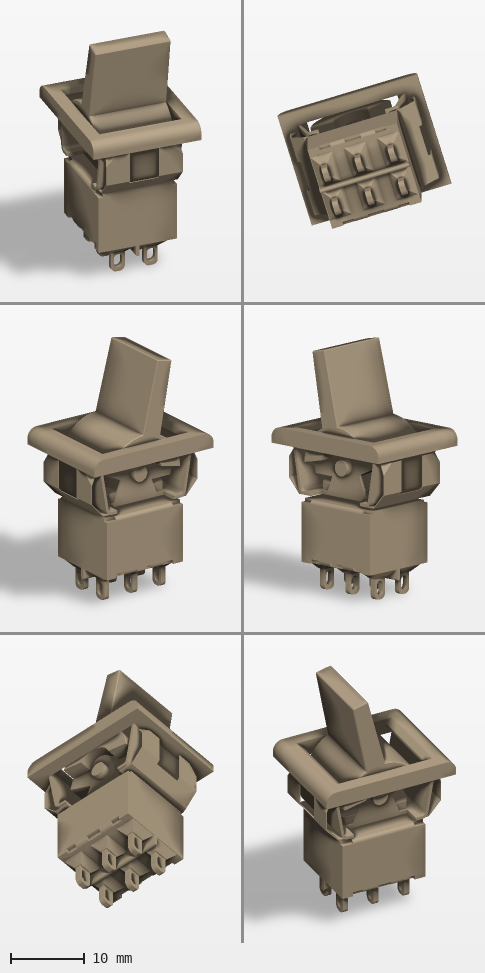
import cadquery as cq
import math


bezel_x = 19.85
bezel_y = 15.8
bezel_z = 2.3
bezel_round = 1.5
opening_x = 14.6
opening_throat_x = 12.88
opening_slope_z = 0.72
lip_bottom_z = 1.2
opening_y = 12.04

strap_t = 0.42
strap_y = opening_y
strap_top_x = 7.7
strap_foot_z = -6.91
strap_slope = math.tan(math.radians(9.8))
strap_bend = 0.5
strap_inner_top_x = strap_top_x - strap_t / math.cos(math.atan(strap_slope))
foot_inner_x = 4.74
bridge_y = 7.0

clip_t = 0.13
clip_x = 8.84
clip_y = 11.22
clip_top_z = -0.62
clip_knee_z = -4.95
clip_floor_x = 6.92
clip_slot_y = 4.25
clip_slot_z = -5.39
flap_leg = 1.5
flap_tip_inward = 0.78
flap_tip_setback_y = 0.25
flap_tip_drop = 0.15

pivot_z = -2.63
pin_d = 2.2
pin_y = 9.5
ear_outer_y = 3.56
ear_t = 0.4
ear_top_z = pivot_z + 1.38
ear_top_half_x = 1.45
ear_foot_half_x = 3.7
ear_crown_d = 5.2
ear_crown_flare = math.tan(math.radians(35))
bushing_d = 5.2
boss_z = -5.3
boss_y = 6.4
boss_d = 11.44

tilt = 12.3
rocker_r = 6.0
wide_bottom_z = 1.45
wide_half_y = 5.72
core_y = 7.06
vee_depth = 1.68
ear_clearance_d = 5.8
handle_root_half_x = 1.5
handle_root_z = 5.7
handle_tip_half_x = 1.2
handle_tip_z = 16.42
handle_tip_half_y = 5.52
rocker_edge = 0.13

housing_x = 12.7
housing_y = 11.46
housing_top_z = -7.62
housing_bottom_z = -16.43
cover_x = 2 * foot_inner_x
cover_round = 0.55
cover_bottom_z = -15.8
cover_t = 0.5
shoulder_z = -8.06
shoulder_tab_y = 10.16
tongue_x = 2.17
tongue_length = 2.05

pitch_x = 4.71
pitch_y = 4.82
base_h = 1.05
base_top_x = 3.1
base_top_y = 4.28
base_tip_x = 1.1
base_tip_y = 2.2
lug_t = 0.8
lug_w = 2.0
terminal_bottom_z = -20.44
terminal_round = 0.75
eye_w = 1.2
eye_h = 1.96
eye_z = -18.85
rib_t = 0.56
rib_bottom_z = -18.03
rib_round = 0.27


def box(x_size, y_size, z_low, z_high):
    """Box centred on the Z axis between two heights."""
    return cq.Workplane("XY").workplane(offset=z_low).rect(x_size, y_size).extrude(z_high - z_low)


def along_y(points, width):
    """Closed X-Z outline extruded to a width centred on Y = 0."""
    return cq.Workplane("XZ").polyline(points).close().extrude(width / 2, both=True)


def rod_y(diameter, z, length):
    """Rod along Y, centred on Y = 0."""
    return cq.Workplane("XZ").center(0, z).circle(diameter / 2).extrude(length / 2, both=True)


def upright_rod(diameter, z_low, z_high):
    """Rod on the Z axis between two heights."""
    return cq.Workplane("XY").workplane(offset=z_low).circle(diameter / 2).extrude(z_high - z_low)


def with_mirrored_end(points):
    """Left half of an X-Z outline, completed by its mirror image across X = 0."""
    return points + [(-x, z) for x, z in reversed(points)]


def make_bezel():
    """Frame with rounded ends. The opening slopes in to a lip at each end, undercut down to the strap."""
    bezel = box(bezel_x, bezel_y, 0, bezel_z)
    bezel = bezel.faces(">Z").edges("|Y").fillet(bezel_round)
    undercut_top_x = strap_inner_top_x + lip_bottom_z * strap_slope
    opening = [
        (-opening_x / 2, bezel_z),
        (-opening_throat_x / 2, bezel_z - opening_slope_z),
        (-opening_throat_x / 2, lip_bottom_z),
        (-undercut_top_x, lip_bottom_z),
        (-strap_inner_top_x, 0),
    ]
    return bezel.cut(along_y(with_mirrored_end(opening), opening_y))


def foot_gap(side):
    """Space beside the bridge, between the two feet of the bracket and clip."""
    gap_y = bezel_y / 2
    gap = box(2 * foot_inner_x, gap_y, strap_foot_z - clip_t, strap_foot_z + strap_t)
    return gap.translate((0, side * (bridge_y + gap_y) / 2, 0))


def make_strap():
    """U-shaped strap with leaning arms and rounded bends."""
    floor_z = strap_foot_z + strap_t
    outer_foot_x = strap_top_x + strap_foot_z * strap_slope
    inner_foot_x = strap_inner_top_x + floor_z * strap_slope
    outer = along_y(with_mirrored_end([(-strap_top_x, 0), (-outer_foot_x, strap_foot_z)]), strap_y)
    outer = outer.faces("<Z").edges("|Y").fillet(strap_bend + strap_t)
    inner = along_y(with_mirrored_end([(-strap_inner_top_x, 0), (-inner_foot_x, floor_z)]), strap_y)
    inner = inner.faces("<Z").edges("|Y").fillet(strap_bend)
    return outer.cut(inner)


def make_flap(side_x, side_y):
    """Corner of a clip leaf, folded inwards along a diagonal."""
    corner_y = clip_y / 2
    fold_points = [
        (clip_x, corner_y - flap_leg, clip_top_z),
        (clip_x, corner_y, clip_top_z - flap_leg),
        (clip_x - flap_tip_inward, corner_y - flap_tip_setback_y, clip_top_z - flap_tip_drop),
    ]
    corners = [cq.Vector(side_x * x, side_y * y, z) for x, y, z in fold_points]
    outline = cq.Wire.makePolygon(corners, close=True)
    return cq.Workplane(cq.Solid.extrudeLinear(outline, [], cq.Vector(-side_x * clip_t, 0, 0)))


def make_clip():
    """Spring with a slotted leaf at each end and folded-in leaf corners."""
    floor_z = strap_foot_z - clip_t
    knee_angle = math.atan2(clip_x - clip_floor_x, clip_knee_z - floor_z)
    knee_miter = clip_t * math.tan(knee_angle / 2)
    floor_miter = clip_t * math.tan((math.pi / 2 - knee_angle) / 2)
    left_outer = [(-clip_x, clip_top_z), (-clip_x, clip_knee_z), (-clip_floor_x, floor_z)]
    left_inner = [
        (-clip_x + clip_t, clip_top_z),
        (-clip_x + clip_t, clip_knee_z + knee_miter),
        (-clip_floor_x + floor_miter, strap_foot_z),
    ]
    clip = along_y(with_mirrored_end(left_outer), clip_y)
    clip = clip.cut(along_y(with_mirrored_end(left_inner), clip_y))
    clip = clip.cut(box(2 * clip_x, clip_slot_y, clip_slot_z, 0))
    for side_y in (-1, 1):
        edge_y = side_y * clip_y / 2
        corner = [
            (edge_y, clip_top_z),
            (edge_y - side_y * flap_leg, clip_top_z),
            (edge_y, clip_top_z - flap_leg),
        ]
        clip = clip.cut(cq.Workplane("YZ").polyline(corner).close().extrude(clip_x, both=True))
        for side_x in (-1, 1):
            clip = clip.union(make_flap(side_x, side_y))
    return clip


def make_ear(side):
    """Upright ear carrying the pin, with an outward-flared crown above its straight top."""
    ear_inner_y = ear_outer_y - ear_t
    crown_top_z = pivot_z + ear_crown_d / 2
    outline = with_mirrored_end([(-ear_top_half_x, ear_top_z), (-ear_foot_half_x, strap_foot_z)])
    ear = along_y(outline, ear_t).translate((0, side * (ear_outer_y + ear_inner_y) / 2, 0))
    flare = ear_crown_flare * (crown_top_z - ear_top_z)
    section = [
        (side * ear_inner_y, ear_top_z),
        (side * ear_outer_y, ear_top_z),
        (side * (ear_outer_y + flare), crown_top_z),
        (side * ear_inner_y, crown_top_z),
    ]
    crown = cq.Workplane("YZ").polyline(section).close().extrude(ear_top_half_x, both=True)
    return ear.union(crown.intersect(rod_y(ear_crown_d, pivot_z, bezel_y)))


def make_bracket():
    """Strap and clip joined by a bridge that carries the boss, bushing, ears and pin."""
    bracket = make_strap().union(make_clip())
    for side in (-1, 1):
        bracket = bracket.cut(foot_gap(side))
    boss = upright_rod(boss_d, strap_foot_z, boss_z)
    bracket = bracket.union(boss.intersect(box(boss_d, boss_y, strap_foot_z, boss_z)))
    bushing = upright_rod(bushing_d, strap_foot_z, pivot_z)
    bracket = bracket.union(bushing)
    for side in (-1, 1):
        bracket = bracket.union(make_ear(side))
    return bracket.union(rod_y(pin_d, pivot_z, pin_y))


def make_rocker():
    """Wide drum segment with a tapered handle on a narrower core whose underside is a shallow V."""
    drum = rod_y(2 * rocker_r, 0, 2 * wide_half_y)
    head = drum.intersect(box(2 * rocker_r, 2 * wide_half_y, wide_bottom_z, rocker_r))
    handle_left = [
        (-handle_tip_half_x, handle_tip_z),
        (-handle_root_half_x, handle_root_z),
        (-handle_root_half_x, wide_bottom_z),
    ]
    handle = along_y(with_mirrored_end(handle_left), 2 * wide_half_y)
    draft = [
        (-wide_half_y, wide_bottom_z),
        (wide_half_y, wide_bottom_z),
        (handle_tip_half_y, handle_tip_z),
        (-handle_tip_half_y, handle_tip_z),
    ]
    head = head.union(handle).intersect(
        cq.Workplane("YZ").polyline(draft).close().extrude(rocker_r, both=True)
    )
    head = head.faces("<Y or >Y or >Z").edges("not <Z").chamfer(rocker_edge)
    head = head.cut(rod_y(ear_clearance_d, 0, 2 * wide_half_y))

    vee_floor_z = -vee_depth / math.cos(math.radians(tilt))
    vee_edge_z = vee_floor_z + rocker_r * math.tan(math.radians(tilt))
    core_outline = [
        (-rocker_r, rocker_r),
        (-rocker_r, vee_edge_z),
        (0, vee_floor_z),
        (rocker_r, vee_edge_z),
        (rocker_r, rocker_r),
    ]
    core = along_y(core_outline, core_y).intersect(rod_y(2 * rocker_r, 0, core_y))
    rocker = head.union(core)
    return rocker.rotate((0, 0, 0), (0, 1, 0), tilt).translate((0, 0, pivot_z))


def make_housing_shell():
    """Case with stepped ends, and a cover between them that stops short of the case bottom."""
    shell = box(housing_x, housing_y, housing_bottom_z, shoulder_z)
    shell = shell.union(box(housing_x, shoulder_tab_y, shoulder_z, housing_top_z))
    shell = shell.cut(box(cover_x, housing_y, housing_bottom_z, housing_top_z))
    cover = box(cover_x, housing_y, cover_bottom_z, housing_top_z)
    cover = cover.faces(">Z").edges("|X").fillet(cover_round)
    core = box(cover_x, housing_y - 2 * cover_t, housing_bottom_z, housing_top_z)
    return shell.union(cover).union(core)


def make_tongue(x, side):
    """Rounded tongue under the lower edge of the cover, curling inwards."""
    curl = cover_bottom_z - housing_bottom_z
    face_y = side * housing_y / 2
    tongue = (
        cq.Workplane("YZ")
        .workplane(offset=x - tongue_length / 2)
        .moveTo(face_y, cover_bottom_z)
        .radiusArc((face_y - side * curl, housing_bottom_z), side * curl)
        .lineTo(face_y - side * curl, cover_bottom_z)
        .close()
    )
    return tongue.extrude(tongue_length)


def make_terminal(x, y):
    """Solder lug with a slotted eye below a tapered base."""
    base = (
        cq.Workplane("XY")
        .workplane(offset=housing_bottom_z)
        .rect(base_top_x, base_top_y)
        .workplane(offset=-base_h)
        .rect(base_tip_x, base_tip_y)
        .loft()
    )
    lug = box(lug_t, lug_w, terminal_bottom_z, housing_bottom_z)
    lug = lug.faces("<Z").edges("|X").fillet(terminal_round)
    eye = cq.Workplane("YZ").center(0, eye_z).slot2D(eye_h, eye_w, 90).extrude(lug_t, both=True)
    return base.union(lug.cut(eye)).translate((x, y, 0))


def make_housing():
    housing = make_housing_shell()
    for side in (-1, 1):
        for x in (-tongue_x, tongue_x):
            housing = housing.union(make_tongue(x, side))
        for x in (-pitch_x, 0, pitch_x):
            housing = housing.union(make_terminal(x, side * pitch_y / 2))
    rib = box(housing_x, rib_t, rib_bottom_z, housing_bottom_z)
    return housing.union(rib.faces("<Z").edges("|X").fillet(rib_round))


actuator = make_bezel().union(make_bracket()).union(make_rocker())
housing = make_housing()

result = cq.Compound.makeCompound([actuator.solids().val(), housing.solids().val()])